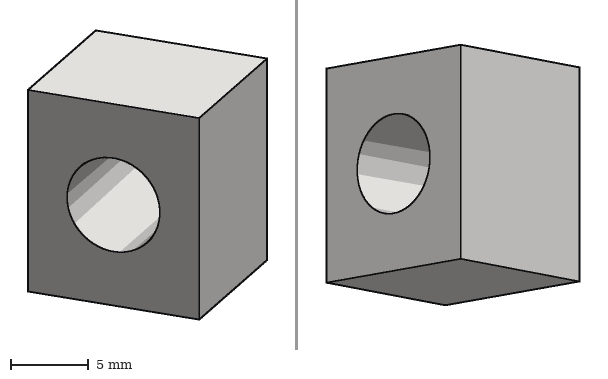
import cadquery as cq

width = 12.0
depth = 11.0
height = 14.0

bore_diameter = 6.5

block = cq.Workplane("XY").box(width, depth, height)

result = block.faces("<Y").workplane(centerOption="CenterOfBoundBox").hole(bore_diameter)